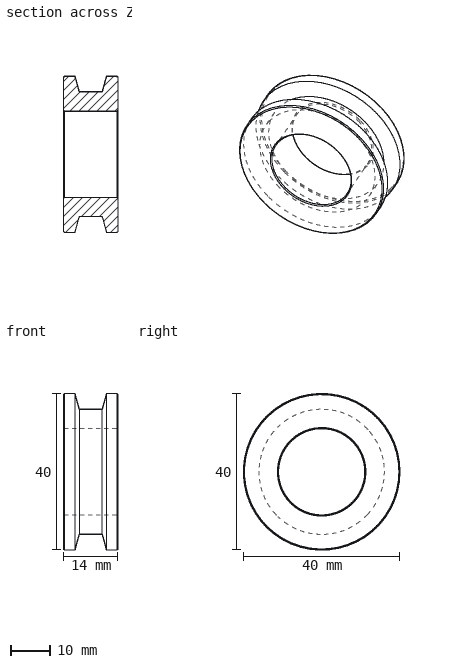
import cadquery as cq

outer_diameter = 40.0
groove_diameter = 32.0
bore_diameter = 22.0
width = 14.0
groove_top_width = 8.0
groove_floor_width = 5.85
edge_chamfer = 0.3

outer_radius = outer_diameter / 2
groove_radius = groove_diameter / 2
bore_radius = bore_diameter / 2


def make_blank():
    """Plain ring along X, with chamfered rim and bore edges."""
    ring = (
        cq.Workplane("YZ")
        .circle(outer_radius)
        .circle(bore_radius)
        .extrude(width / 2, both=True)
    )
    return ring.faces("<X or >X").edges().chamfer(edge_chamfer)


def make_groove():
    """Ring with sloped sides that is cut from the rim."""
    return (
        cq.Workplane("XY")
        .moveTo(-groove_floor_width / 2, groove_radius)
        .lineTo(groove_floor_width / 2, groove_radius)
        .lineTo(groove_top_width / 2, outer_radius)
        .lineTo(-groove_top_width / 2, outer_radius)
        .close()
        .revolve(360, (0, 0, 0), (1, 0, 0))
    )


result = make_blank().cut(make_groove())